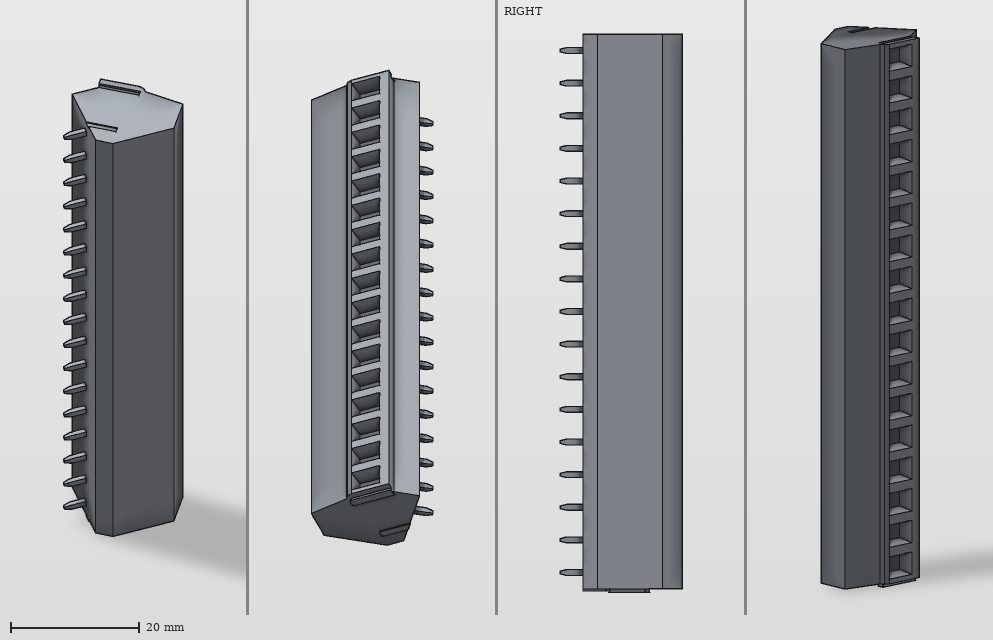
import cadquery as cq
import math

pole_count = 17
housing_height = 86.35
pitch = housing_height / pole_count

housing_width = 12.4
peak_x, peak_y = 7.9, 15.5
side_wall_top_y = 12.35
corner_chamfer_x, corner_chamfer_y = 1.65, 2.3

entry_angle = 55.0
lip_overhang = 1.65
lip_low_y = 5.3
lip_high_y = 10.4
lip_chamfer = 0.9
lip_root_undercut = 0.1

pocket_length = 4.7
pocket_height = 3.6
funnel_inset = 0.4
funnel_depth = 1.9
recess_depth = 0.5

rib_neck_width = 0.9
rib_flare = 20.0
lip_rib_inset = 1.05
lip_rib_length = 6.7
lip_rib_height = 0.6
foot_rib_x = 7.05
foot_rib_length = 4.7
foot_rib_height = 0.35

pin_x = 6.2
pin_size_x = 0.8
pin_size_z = 1.0
pin_length = 3.6
pin_tip_length = 1.05
pin_tip_size = 0.4

along_x = math.cos(math.radians(entry_angle))
along_y = math.sin(math.radians(entry_angle))
inward_x, inward_y = along_y, -along_x
lip_length = (lip_high_y - lip_low_y) / along_y


def slope_offset(start, along, inward):
    """Move an XY point up the entry slope and into the housing."""
    x = start[0] + along * along_x + inward * inward_x
    y = start[1] + along * along_y + inward * inward_y
    return x, y


lip_corner = (-lip_overhang, lip_low_y)


def make_prism(height):
    """Housing cross-section extruded from Z = 0, downwards when the height is negative."""
    lip_root = slope_offset(lip_corner, 0, (lip_overhang + lip_root_undercut) / inward_x)
    lip_top = slope_offset(lip_corner, lip_length, 0)
    shoulder_x = lip_top[0] + lip_chamfer * along_y
    shoulder_y = lip_top[1] + lip_chamfer * along_x
    rear_face_end_x = peak_x - (peak_y - shoulder_y)
    outline = [
        (0, 0),
        (housing_width - corner_chamfer_x, 0),
        (housing_width, corner_chamfer_y),
        (housing_width, side_wall_top_y),
        (peak_x, peak_y),
        (rear_face_end_x, shoulder_y),
        (shoulder_x, shoulder_y),
        lip_top,
        lip_corner,
        lip_root,
        (0, lip_root[1]),
    ]
    return cq.Workplane("XY").polyline(outline).close().extrude(height)


def make_pocket(z):
    """Wire entry pocket sunk square to the entry face, at the upper end of the lip."""
    x, y = slope_offset(lip_corner, lip_length - pocket_length / 2, 0)
    plane = cq.Plane(origin=(x, y, z), xDir=(along_x, along_y, 0), normal=(inward_x, inward_y, 0))
    floor_length = pocket_length - 2 * funnel_inset
    floor_height = pocket_height - 2 * funnel_inset
    funnel = (
        cq.Workplane(plane)
        .rect(pocket_length, pocket_height)
        .workplane(offset=funnel_depth)
        .rect(floor_length, floor_height)
        .loft(ruled=True)
    )
    recess = (
        cq.Workplane(plane)
        .workplane(offset=funnel_depth)
        .rect(floor_length, floor_height)
        .extrude(recess_depth)
    )
    return funnel.union(recess)


def make_rib(start, length, height):
    """Dovetail rib hanging below Z = 0, centred on a line up the slope and open at its lower end."""
    overrun = 2 * rib_neck_width
    half_width = rib_neck_width / 2
    corners = [
        slope_offset(start, -overrun, -half_width),
        slope_offset(start, length, -half_width),
        slope_offset(start, length, half_width),
        slope_offset(start, -overrun, half_width),
    ]
    rib = cq.Workplane("XY").polyline(corners).close().extrude(-height, taper=-rib_flare)
    return rib.intersect(make_prism(-height))


def make_pin(z):
    """Rectangular solder pin with a tapered tip, pointing along -Y."""
    shank_length = pin_length - pin_tip_length
    plane = cq.Plane(origin=(pin_x, 0, z), xDir=(1, 0, 0), normal=(0, -1, 0))
    shank = cq.Workplane(plane).rect(pin_size_x, pin_size_z).extrude(shank_length)
    tip = (
        cq.Workplane(plane)
        .workplane(offset=shank_length)
        .rect(pin_size_x, pin_size_z)
        .workplane(offset=pin_tip_length)
        .rect(pin_tip_size, pin_tip_size)
        .loft(ruled=True)
    )
    return shank.union(tip)


result = make_prism(housing_height)

lip_rib_start = slope_offset(lip_corner, 0, lip_rib_inset + rib_neck_width / 2)
ribs = [
    make_rib(lip_rib_start, lip_rib_length, lip_rib_height),
    make_rib((foot_rib_x, 0), foot_rib_length, foot_rib_height),
]
for rib in ribs:
    groove = rib.translate((0, 0, housing_height))
    result = result.cut(groove).union(rib)

for pole in range(pole_count):
    pole_z = (pole + 0.5) * pitch
    result = result.cut(make_pocket(pole_z)).union(make_pin(pole_z))